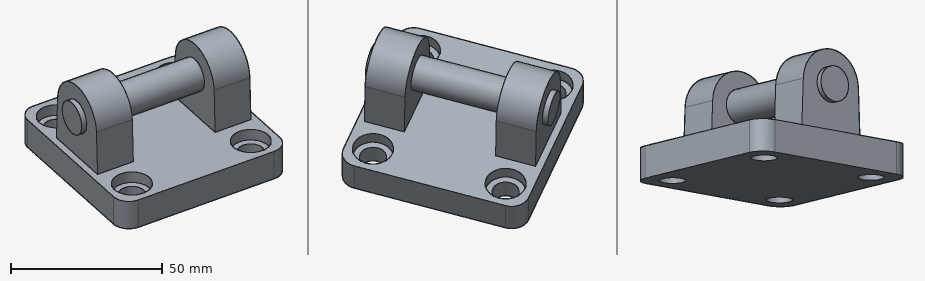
import cadquery as cq
import math

base_side = 65.0
base_height = 11.0
corner_radius = 6.0

hole_spacing = 46.5
hole_diameter = 9.0
counterbore_diameter = 13.5
counterbore_depth = 4.2

total_height = 39.0
lug_top_radius = 12.0
lug_foot_width = 25.35
lug_gap = 32.0
lug_outer_span = 60.0
lug_thickness = (lug_outer_span - lug_gap) / 2

pin_diameter = 12.0
pin_length = 63.95
pin_height = total_height - lug_top_radius


def make_base():
    plate = cq.Workplane("XY").box(base_side, base_side, base_height, centered=(True, True, False))
    return (
        plate.edges("|Z").fillet(corner_radius)
        .faces(">Z").workplane()
        .rect(hole_spacing, hole_spacing, forConstruction=True).vertices()
        .cboreHole(hole_diameter, counterbore_diameter, counterbore_depth)
    )


def make_lug(start_y):
    """Lug whose straight tapered flanks run tangent into its round top."""
    foot_half = lug_foot_width / 2
    rise = pin_height - base_height
    tangent_angle = math.acos(lug_top_radius / math.hypot(foot_half, rise)) - math.atan2(rise, foot_half)
    tangent_x = lug_top_radius * math.cos(tangent_angle)
    tangent_z = pin_height + lug_top_radius * math.sin(tangent_angle)
    return (
        cq.Workplane("XZ", origin=(0, start_y, 0))
        .moveTo(-foot_half, base_height)
        .lineTo(foot_half, base_height)
        .lineTo(tangent_x, tangent_z)
        .threePointArc((0, total_height), (-tangent_x, tangent_z))
        .close()
        .extrude(-lug_thickness)
    )


def make_pin():
    return (
        cq.Workplane("XZ")
        .center(0, pin_height)
        .circle(pin_diameter / 2)
        .extrude(pin_length / 2, both=True)
    )


result = make_base()
for lug_start in (-lug_outer_span / 2, lug_gap / 2):
    result = result.union(make_lug(lug_start))
result = result.union(make_pin())